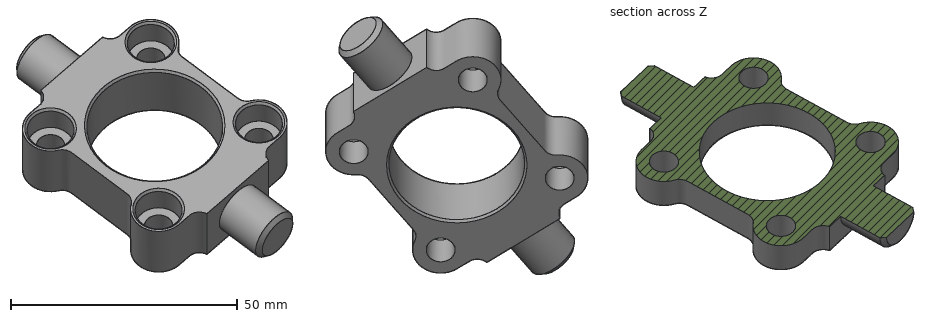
import cadquery as cq
import math

total_length = 74.0
plate_length = 50.0
plate_thickness = 15.0
overall_width = 45.0
waist_width = 36.0
screw_spacing = 32.55
flank_half_width = 10.0
corner_radius = 3.0

bore_diameter = 30.0
edge_chamfer = 0.5
screw_hole_diameter = 6.4
counterbore_diameter = 10.35
counterbore_depth = 6.5

pin_diameter = 12.0
pin_chamfer = 1.0
pin_embed = 1.5

half_length = plate_length / 2
half_waist = waist_width / 2
screw_offset = screw_spacing / 2
lobe_reach = overall_width / 2
lobe_radius = lobe_reach - screw_offset
half_thickness = plate_thickness / 2


def quarter_outline():
    """Plate outline in the +X +Y quadrant, closed through the origin."""
    flank_center_x = lobe_reach + corner_radius
    flank_center_y = flank_half_width + corner_radius
    end_drop = math.sqrt(corner_radius**2 - (flank_center_x - half_length) ** 2)
    end_corner = (half_length, flank_center_y - end_drop)
    diagonal = corner_radius * math.sqrt(0.5)
    flank_middle = (flank_center_x - diagonal, flank_center_y - diagonal)

    waist_center_y = half_waist + corner_radius
    rise = waist_center_y - screw_offset
    run = math.sqrt((lobe_radius + corner_radius) ** 2 - rise**2)
    waist_center_x = screw_offset - run
    lean = math.atan2(rise, run)
    lobe_end = (
        screw_offset - lobe_radius * math.cos(lean),
        screw_offset + lobe_radius * math.sin(lean),
    )
    middle_angle = -(math.pi / 2 + lean) / 2
    waist_middle = (
        waist_center_x + corner_radius * math.cos(middle_angle),
        waist_center_y + corner_radius * math.sin(middle_angle),
    )
    lobe_middle_angle = (math.pi - lean) / 2
    lobe_middle = (
        screw_offset + lobe_radius * math.cos(lobe_middle_angle),
        screw_offset + lobe_radius * math.sin(lobe_middle_angle),
    )
    return (
        cq.Workplane("XY", origin=(0, 0, -half_thickness))
        .lineTo(half_length, 0)
        .lineTo(*end_corner)
        .threePointArc(flank_middle, (lobe_reach, flank_center_y))
        .lineTo(lobe_reach, screw_offset)
        .threePointArc(lobe_middle, lobe_end)
        .threePointArc(waist_middle, (waist_center_x, half_waist))
        .lineTo(0, half_waist)
        .close()
    )


def make_plate():
    quarter = quarter_outline().extrude(plate_thickness)
    half = quarter.union(quarter.mirror("YZ"))
    return half.union(half.mirror("XZ")).clean()


def make_pin():
    """Pin on the +X end, chamfered at its tip."""
    pin_start = half_length - pin_embed
    return (
        cq.Workplane("YZ", origin=(pin_start, 0, 0))
        .circle(pin_diameter / 2)
        .extrude(total_length / 2 - pin_start)
        .faces(">X")
        .chamfer(pin_chamfer)
    )


def top_chamfered_cutter(diameter, depth):
    """Round cutter going down from the top face, flared at its rim."""
    radius = diameter / 2
    return (
        cq.Workplane("XZ")
        .moveTo(0, half_thickness)
        .lineTo(radius + edge_chamfer, half_thickness)
        .lineTo(radius, half_thickness - edge_chamfer)
        .lineTo(radius, half_thickness - depth)
        .lineTo(0, half_thickness - depth)
        .close()
        .revolve(360, (0, 0, 0), (0, 1, 0))
    )


def screw_hole_cutter():
    shank = (
        cq.Workplane("XY", origin=(0, 0, -half_thickness))
        .circle(screw_hole_diameter / 2)
        .extrude(plate_thickness)
    )
    return shank.union(top_chamfered_cutter(counterbore_diameter, counterbore_depth))


pin = make_pin()
result = make_plate().union(pin).union(pin.mirror("YZ"))

bore_cutter = top_chamfered_cutter(bore_diameter, plate_thickness)
result = result.cut(bore_cutter).cut(bore_cutter.mirror("XY"))

screw_cutter = screw_hole_cutter()
for side_x in (-1, 1):
    for side_y in (-1, 1):
        position = (side_x * screw_offset, side_y * screw_offset, 0)
        result = result.cut(screw_cutter.translate(position))